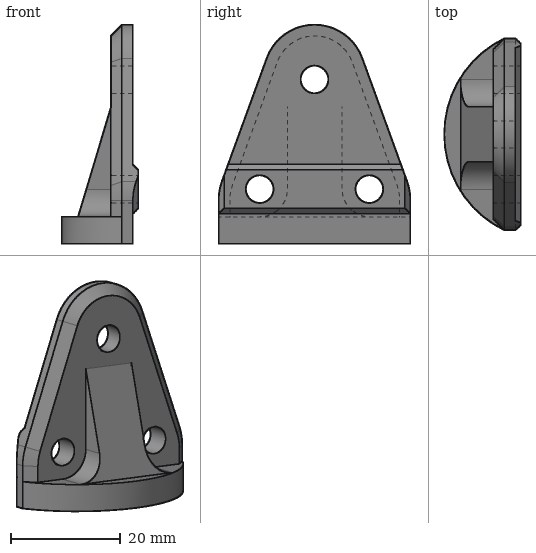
import cadquery as cq
import math

total_height = 40
total_width = 35.0
half_width = total_width / 2

plate_thickness = 4
edge_chamfer = 2
crown_radius = 9.3
shoulder_radius = 10
shoulder_height = 8

base_height = 5.0
base_depth = 13.0
base_side_flat = 2

gusset_top = 25.0
gusset_width = 10
gusset_reach = 10
gusset_fillet = 5.0

hole_diameter = 5.0
hole_spacing = 20
lower_hole_height = 10
upper_hole_height = 30

tongue_height = 9.0
tongue_projection = 1.0
tongue_center_height = lower_hole_height


def mirrored(point):
    """Reflect a (Y, Z) point to the other side of the part."""
    return (-point[0], point[1])


def arc_point(center_y, center_z, radius, angle):
    """Point (Y, Z) on a circle at an angle measured up from +Y."""
    return (center_y + radius * math.cos(angle), center_z + radius * math.sin(angle))


def outline_wire(x, inset=0):
    """Rounded triangular outline at the given X, drawn in from the sides and crown by inset."""
    side = half_width - inset
    shoulder_r = shoulder_radius - inset
    crown_r = crown_radius - inset
    shoulder_y = half_width - shoulder_radius
    crown_z = total_height - crown_radius

    rise = crown_z - shoulder_height
    flank_angle = math.atan2(shoulder_y, rise)
    flank_angle += math.asin((shoulder_r - crown_r) / math.hypot(shoulder_y, rise))

    shoulder_mid = arc_point(shoulder_y, shoulder_height, shoulder_r, flank_angle / 2)
    shoulder_end = arc_point(shoulder_y, shoulder_height, shoulder_r, flank_angle)
    crown_start = arc_point(0, crown_z, crown_r, flank_angle)

    outline = (
        cq.Workplane("YZ", origin=(x, 0, 0))
        .moveTo(-side, 0)
        .lineTo(side, 0)
        .lineTo(side, shoulder_height)
        .threePointArc(shoulder_mid, shoulder_end)
        .lineTo(*crown_start)
        .threePointArc((0, total_height - inset), mirrored(crown_start))
        .lineTo(*mirrored(shoulder_end))
        .threePointArc(mirrored(shoulder_mid), (-side, shoulder_height))
        .close()
    )
    return outline.val()


def outline_layer(start_x, end_x, end_inset=0):
    """Solid between the full outline at start_x and the inset outline at end_x."""
    wires = [outline_wire(start_x), outline_wire(end_x, end_inset)]
    return cq.Workplane(obj=cq.Solid.makeLoft(wires, True))


def make_plate():
    """Upright plate whose front edge is chamfered along the sides and crown."""
    bevel_start = edge_chamfer - plate_thickness
    straight = outline_layer(0, bevel_start)
    bevel = outline_layer(bevel_start, -plate_thickness, edge_chamfer)
    return straight.union(bevel)


def make_base():
    """Flat base bounded by one arc at the front and short flats at the sides."""
    return (
        cq.Workplane("XY")
        .moveTo(0, -half_width)
        .lineTo(-base_side_flat, -half_width)
        .threePointArc((-base_depth, 0), (-base_side_flat, half_width))
        .lineTo(0, half_width)
        .close()
        .extrude(base_height)
    )


def make_gusset():
    """Sloped gusset between base and plate, flared by concave fillets at its foot."""
    neck = gusset_width / 2
    foot = neck + gusset_fillet
    fillet_top = base_height + gusset_fillet
    fillet_mid = arc_point(foot, fillet_top, gusset_fillet, math.radians(225))

    front_shape = (
        cq.Workplane("YZ")
        .moveTo(-foot, base_height)
        .lineTo(foot, base_height)
        .threePointArc(fillet_mid, (neck, fillet_top))
        .lineTo(neck, gusset_top)
        .lineTo(-neck, gusset_top)
        .lineTo(-neck, fillet_top)
        .threePointArc(mirrored(fillet_mid), (-foot, base_height))
        .close()
        .extrude(-base_depth)
    )
    slope = (
        cq.Workplane("XZ")
        .moveTo(-plate_thickness, base_height)
        .lineTo(-gusset_reach, base_height)
        .lineTo(-plate_thickness, gusset_top)
        .close()
        .extrude(foot, both=True)
    )
    return front_shape.intersect(slope)


def make_tongue():
    """Full-width tongue on the back face, beveled at 45 degrees and trimmed to the plate outline."""
    tip_width = total_width - 2 * tongue_projection
    tip_height = tongue_height - 2 * tongue_projection
    bar = (
        cq.Workplane("YZ")
        .center(0, tongue_center_height)
        .rect(total_width, tongue_height)
        .workplane(offset=tongue_projection)
        .rect(tip_width, tip_height)
        .loft(ruled=True)
    )
    return bar.intersect(outline_layer(0, tongue_projection))


def make_holes():
    """Three through holes along X: one under the crown and one at each shoulder."""
    length = plate_thickness + tongue_projection
    centers = [
        (0, upper_hole_height),
        (hole_spacing / 2, lower_hole_height),
        (-hole_spacing / 2, lower_hole_height),
    ]
    return (
        cq.Workplane("YZ", origin=(-plate_thickness, 0, 0))
        .pushPoints(centers)
        .circle(hole_diameter / 2)
        .extrude(length)
    )


body = make_plate().union(make_base()).union(make_gusset()).union(make_tongue())
result = body.cut(make_holes())